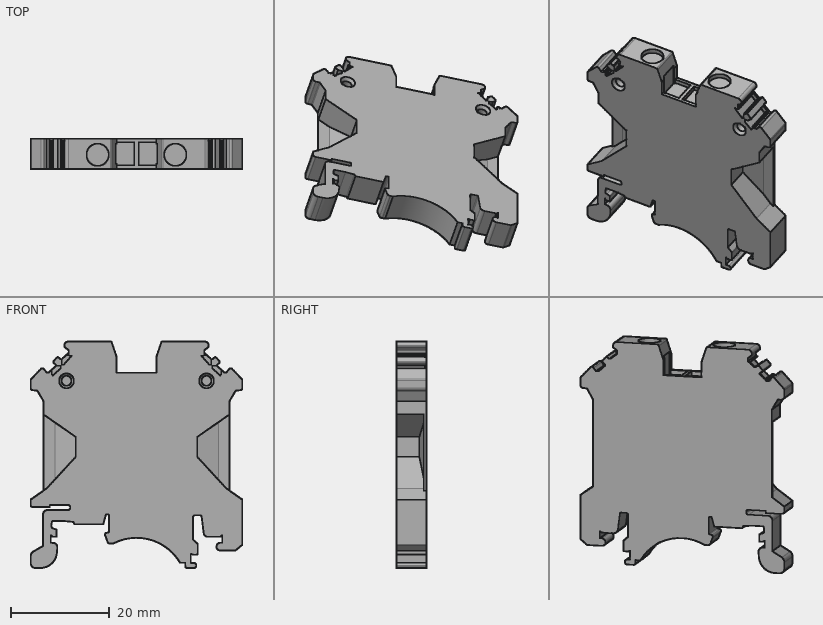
import cadquery as cq
import math

LENGTH = 42.8
WIDTH = 6.15
HEIGHT = 45.8

END = LENGTH / 2
TOP = HEIGHT / 2
BOTTOM = -TOP
FRONT = -WIDTH / 2
BACK = WIDTH / 2

WAIST_X = 18.8
FOOT_TOP = -9.05
LEDGE_BOTTOM = -10.6
RAIL_SEAT = -14.05

NOTCH_HALF = 4.0
NOTCH_FLOOR = 16.6
NOTCH_FLARE = 19.8
NOTCH_TOP_HALF = 5.05
WINDOW_INNER = 0.41
WINDOW_HALF_WIDTH = 2.35
WINDOW_DEPTH = 0.9
WALL_GROOVE_DEPTH = 0.2
WALL_GROOVE_HALF_WIDTH = 2.0

SCREW_DIAMETER = 4.5
SCREW_X = 7.85
SCREW_Y = -0.2
SCREW_DEPTH = 1.0

TEST_X = 14.15
TEST_Z = 14.95
TEST_DIAMETER = 2.0
TEST_MOUTH = 3.0
TEST_CONE_DEPTH = 0.75
TEST_BORE_DEPTH = 3.0

GROOVE_BACK_WALL = 0.4

RECESS_INNER_X = 12.26
RECESS_RAMP_X = 16.5
WEB_RIM = 0.55
WEB_INNER = 1.5
RECESS_FOOT_X = 18.1
RECESS_FOOT_Z = -6.75
FOOT_SLOPE = (FOOT_TOP - RECESS_FOOT_Z) / (END - RECESS_FOOT_X)
WAIST_BOTTOM = RECESS_FOOT_Z + FOOT_SLOPE * (WAIST_X - RECESS_FOOT_X)

ARCH_RADIUS = 10.2
ARCH_CROWN = -16.8
LEG_BOTTOM = -21.85


def rounded_outline(corners, y):
    """Closed XZ wire at depth y; a corner (x, z, r) is rounded with radius r."""
    outline = cq.Workplane("XZ", origin=(0, y, 0))
    started = False
    for index, corner in enumerate(corners):
        point = cq.Vector(*corner[:2])
        radius = corner[2] if len(corner) == 3 else 0
        stops = [point]
        if radius:
            before = (cq.Vector(*corners[index - 1][:2]) - point).normalized()
            after = (cq.Vector(*corners[(index + 1) % len(corners)][:2]) - point).normalized()
            half_angle = before.getAngle(after) / 2
            setback = radius / math.tan(half_angle)
            bulge = radius / math.sin(half_angle) - radius
            middle = point + (before + after).normalized() * bulge
            stops = [point + before * setback, middle, point + after * setback]
        start = stops[0].toTuple()[:2]
        outline = outline.lineTo(*start) if started else outline.moveTo(*start)
        started = True
        if radius:
            outline = outline.threePointArc(stops[1].toTuple()[:2], stops[2].toTuple()[:2])
    return outline.close()


def plate(corners, y_front=FRONT, y_back=BACK):
    """Slab with the given XZ outline between two depths."""
    return rounded_outline(corners, y_back).extrude(y_back - y_front)


def both_sides(half):
    """The half at +X together with its mirror image at -X."""
    return half.union(half.mirror("YZ"))


def upper_part():
    """Screw blocks, marker carriers and waist, symmetric about X = 0."""
    half = [
        (0, NOTCH_FLOOR),
        (NOTCH_HALF, NOTCH_FLOOR),
        (NOTCH_HALF, NOTCH_FLARE),
        (NOTCH_TOP_HALF, TOP, 0.3),
        (14.55, TOP, 0.8),
        (14.6, 21.8, 0.3),
        (13.7, 21.1, 0.2),
        (13.75, 20.5),
        (14.0, 20.35),
        (15.1, 19.35),
        (15.35, 19.35),
        (15.95, 19.8),
        (16.95, 18.75, 0.25),
        (16.2, 18.05),
        (17.45, 16.9),
        (17.65, 16.65),
        (18.15, 16.65),
        (19.0, 17.7, 0.4),
        (END, 15.2, 0.4),
        (END, 13.05, 0.5),
        (20.05, 12.95, 0.2),
        (WAIST_X, 10.8),
        (WAIST_X, WAIST_BOTTOM),
        (END, FOOT_TOP),
        (0, FOOT_TOP),
    ]
    return both_sides(plate(half))


def base():
    """Lower part with the rail hook, the spring arm and the fixed foot."""
    outline = [
        (-END, FOOT_TOP),
        (-END, LEDGE_BOTTOM, 0.45),
        (-17.5, LEDGE_BOTTOM),
        (-17.5, -10.15),
        (-13.4, -10.15, 0.45),
        (-13.4, -11.15, 0.45),
        (-18.9, -11.15, 0.9),
        (-18.9, -18.4),
        (-END, -19.85, 1.1),
        (-END, BOTTOM, 1.0),
        (-16.3, BOTTOM, 3.4),
        (-15.9, -17.85, 0.9),
        (-17.3, -17.75),
        (-17.3, -16.3),
        (-16.9, -16.6),
        (-16.15, -16.6),
        (-16.15, -15.1, 0.15),
        (-17.25, -14.7, 0.5),
        (-17.05, -13.4, 0.2),
        (-14.7, -13.4),
        (-12.75, -13.6, 0.15),
        (-12.55, RAIL_SEAT),
        (-6.7, RAIL_SEAT),
        (-6.15, -12.05, 0.25),
        (-5.6, -12.05, 0.15),
        (-5.6, -15.65, 0.1),
        (-6.5, -15.85, 0.35),
        (-5.75, -17.95, 0.6),
        (0, -17.95),
        (0, LEG_BOTTOM),
        (9.85, LEG_BOTTOM),
        (9.85, BOTTOM, 0.4),
        (12.1, BOTTOM, 0.5),
        (12.1, LEG_BOTTOM, 0.5),
        (11.0, LEG_BOTTOM),
        (11.0, -20.05),
        (11.4, -20.2),
        (12.4, -20.2, 0.3),
        (12.4, -18.0, 0.2),
        (11.45, -17.15),
        (11.45, -12.25, 0.35),
        (13.1, -12.25, 0.2),
        (13.65, -16.6, 0.9),
        (16.9, -16.6),
        (17.3, -16.3),
        (17.3, -17.75),
        (16.15, -17.75, 0.8),
        (16.15, -19.35, 0.75),
        (20.0, -19.35, 0.3),
        (END, -18.2, 0.3),
        (END, FOOT_TOP),
    ]
    arch = (
        cq.Workplane("XZ", origin=(0, BACK, 0))
        .center(0, ARCH_CROWN - ARCH_RADIUS)
        .circle(ARCH_RADIUS)
        .extrude(WIDTH)
    )
    return plate(outline).cut(arch)


def marker_grooves():
    """Two slanted grooves on each marker carrier, stopped by the back wall."""
    groove_back = BACK - GROOVE_BACK_WALL
    upper = [(13.85, 20.1), (13.1, 20.0), (14.75, 18.15), (15.05, 18.2), (15.15, 19.4), (15.0, 21.0)]
    lower = [
        (15.8, 18.0), (15.35, 17.95), (15.35, 17.45), (16.9, 16.0),
        (17.15, 16.3), (17.15, 16.85), (17.5, 16.85), (16.25, 18.05),
    ]
    return both_sides(plate(upper, FRONT, groove_back).union(plate(lower, FRONT, groove_back)))


def side_recesses():
    """Recesses at the waist that leave a web at the back."""
    outline = [
        (WAIST_X, 8.15),
        (RECESS_INNER_X, 3.6),
        (RECESS_INNER_X, -0.4),
        (RECESS_FOOT_X, RECESS_FOOT_Z),
        (WAIST_X, WAIST_BOTTOM),
    ]
    depth_profile = (
        cq.Workplane("XY", origin=(0, 0, BOTTOM))
        .moveTo(RECESS_INNER_X, FRONT)
        .lineTo(RECESS_INNER_X, BACK - WEB_INNER)
        .lineTo(RECESS_RAMP_X, BACK - WEB_RIM)
        .lineTo(WAIST_X, BACK - WEB_RIM)
        .lineTo(WAIST_X, FRONT)
        .close()
        .extrude(HEIGHT)
    )
    return both_sides(plate(outline).intersect(depth_profile))


def notch_windows():
    """Rectangular windows in the notch floor and a shallow groove up each notch wall."""

    def shaft(x_outer, half_width):
        return (
            cq.Workplane("XY", origin=(0, 0, NOTCH_FLOOR - WINDOW_DEPTH))
            .center((WINDOW_INNER + x_outer) / 2, 0)
            .rect(x_outer - WINDOW_INNER, 2 * half_width)
            .extrude(TOP - NOTCH_FLOOR + WINDOW_DEPTH)
        )

    window = shaft(NOTCH_HALF, WINDOW_HALF_WIDTH)
    wall_groove = shaft(NOTCH_HALF + WALL_GROOVE_DEPTH, WALL_GROOVE_HALF_WIDTH)
    return both_sides(window.union(wall_groove))


def screw_holes():
    """Blind round holes in the top of the two screw blocks."""
    return (
        cq.Workplane("XY", origin=(0, SCREW_Y, TOP))
        .pushPoints([(-SCREW_X, 0), (SCREW_X, 0)])
        .circle(SCREW_DIAMETER / 2)
        .extrude(-SCREW_DEPTH)
    )


def test_holes():
    """Blind bores with a conical mouth in the front face."""
    cone = cq.Solid.makeCone(
        TEST_MOUTH / 2,
        TEST_DIAMETER / 2,
        TEST_CONE_DEPTH,
        pnt=cq.Vector(TEST_X, FRONT, TEST_Z),
        dir=cq.Vector(0, 1, 0),
    )
    bore = cq.Solid.makeCylinder(
        TEST_DIAMETER / 2,
        TEST_BORE_DEPTH,
        pnt=cq.Vector(TEST_X, FRONT, TEST_Z),
        dir=cq.Vector(0, 1, 0),
    )
    return both_sides(cq.Workplane(cone).union(cq.Workplane(bore)))


result = (
    upper_part()
    .union(base())
    .clean()
    .cut(marker_grooves())
    .cut(side_recesses())
    .cut(notch_windows())
    .cut(screw_holes())
    .cut(test_holes())
)